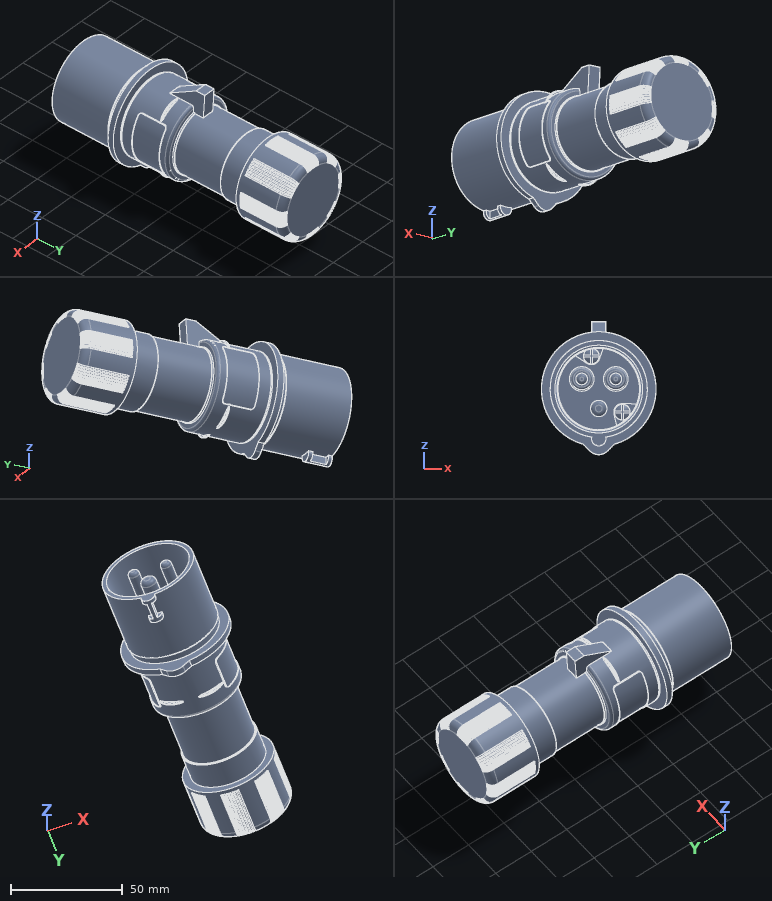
import math

import cadquery as cq


OVERLAP = 1.0

SHROUD_END = 32.9
FLANGE_FRONT = 36.4
FLANGE_BACK = 39.5
BODY_FRONT = 40.3
BODY_BACK = 67.5
COLLAR_BACK = 68.4
TUBE_END = 95.6
RING_END = 108.4
CAP_END = 135.2

SHROUD_RADIUS = 21.7
BODY_RADIUS = 21.1
RELIEF_RADIUS = 20.7
FLANGE_RADIUS = 25.66
COLLAR_RADIUS = 17.5
TUBE_RADIUS = 17.15
RING_RADIUS = 17.9
CAP_RADIUS = 21.7
BODY_BACK_FILLET = 1.4
RING_CHAMFER = 0.3
CAP_FILLET = 3.7

MOUTH_RADIUS = 19.6
FLOOR_RADIUS = 18.6
FLOOR_CHAMFER = 0.4
FLOOR_DEPTH = 37.0

EARTH_Z = -8.7
EARTH_RADIUS = 3.65
EARTH_TIP_RADIUS = 1.5
EARTH_TIP_Y = -1.0
PHASE_X = 7.6
PHASE_Z = 4.5
PHASE_RADIUS = 2.6
PHASE_TIP_RADIUS = 0.8
PHASE_TIP_Y = 1.1
PHASE_COLLAR_RADIUS = 5.5
PHASE_COLLAR_SHOULDER_RADIUS = 4.8
PHASE_COLLAR_TOP_RADIUS = 3.7
PHASE_COLLAR_HEIGHT = 4.0

SCREW_CENTRES = [(-3.3, 14.7), (10.5, -10.3)]
SCREW_RADIUS = 3.5
SCREW_DOME_HEIGHT = 1.2
SCREW_RIM_HEIGHT = 1.0
SCREW_SLOT_WIDTH = 0.9
SCREW_SLOT_DEPTH = 1.2
SCREW_POCKET_RADIUS = 3.8
SCREW_POCKET_DEPTH = 3.0
SCREW_POCKET_HALF_ANGLE = 38.0
SCREW_POCKET_SKEW = 5.5

KEY_WIDTH = 6.4
KEY_BOTTOM_Z = -25.4
KEY_LENGTH = 12.0
KEY_POCKET_START = 2.0
KEY_POCKET_END = 9.9
KEY_WEB = 2.0

LUG_RADIUS = 5.5
LUG_BOTTOM_Z = -29.35

LEVER_WIDTH = 6.4
LEVER_TOP_Z = 30.05
LEVER_FRONT_Y = 53.5
LEVER_CREST_Y = 69.0
LEVER_BACK_Y = 74.1
LEVER_HEEL_Y = 73.1
LEVER_ROOT_Z = 15.0

PANEL_FRONT = 46.4
PANEL_BACK = 62.5
PANEL_HALF_HEIGHT = 14.0
PANEL_CORNER = 1.5
PANEL_DEPTH = 0.4

RIDGE_Y = 58.5
RIDGE_WIDTH = 1.3
RIDGE_EDGE = 0.4
RIDGE_RADIUS = 10.6
RIDGE_OFFSET = 11.7
RIDGE_ANGLE = 62.0

GROOVE_GROUPS = 8
GROOVES_PER_GROUP = 7
GROOVE_PITCH_ANGLE = 3.5
GROOVE_WIDTH = 0.7
GROOVE_DEPTH = 0.4
GROOVE_START = 110.7


def disc(radius, y_front, y_back, x=0.0, z=0.0):
    """Cylinder along Y between two stations."""
    axis = cq.Vector(0, 1, 0)
    return cq.Workplane(cq.Solid.makeCylinder(radius, y_back - y_front, cq.Vector(x, y_front, z), axis))


def box(x_size, y_front, y_back, z_bottom, z_top):
    """Box centred on x = 0."""
    size = (x_size, y_back - y_front, z_top - z_bottom)
    return cq.Workplane("XY").box(*size, centered=(True, False, False)).translate((0, y_front, z_bottom))


def cross_section(y):
    """Workplane across the axis at y; local x is X, local y is Z, and extrusion runs to -Y."""
    return cq.Workplane("XZ", origin=(0, y, 0))


def make_outer_shell():
    body = disc(BODY_RADIUS, BODY_FRONT, BODY_BACK).faces(">Y").edges().fillet(BODY_BACK_FILLET)
    ring = disc(RING_RADIUS, TUBE_END, RING_END).faces("<Y").edges().chamfer(RING_CHAMFER)
    shell = disc(SHROUD_RADIUS, 0, SHROUD_END)
    shell = shell.union(disc(BODY_RADIUS, SHROUD_END, FLANGE_FRONT))
    shell = shell.union(make_flange())
    shell = shell.union(disc(RELIEF_RADIUS, FLANGE_BACK, BODY_FRONT))
    shell = shell.union(body)
    shell = shell.union(disc(COLLAR_RADIUS, BODY_BACK, COLLAR_BACK))
    shell = shell.union(disc(TUBE_RADIUS, COLLAR_BACK, TUBE_END))
    return shell.union(ring)


def make_flange():
    """Round flange with a rounded lug whose flanks slope at 45 degrees."""
    centre_z = LUG_BOTTOM_Z + LUG_RADIUS
    tangent = LUG_RADIUS * math.sqrt(0.5)
    run = FLANGE_RADIUS / 2
    lug = (
        cross_section(FLANGE_BACK)
        .moveTo(-tangent - run, centre_z - tangent + run)
        .lineTo(-tangent, centre_z - tangent)
        .threePointArc((0, LUG_BOTTOM_Z), (tangent, centre_z - tangent))
        .lineTo(tangent + run, centre_z - tangent + run)
        .close()
        .extrude(FLANGE_BACK - FLANGE_FRONT)
    )
    return disc(FLANGE_RADIUS, FLANGE_FRONT, FLANGE_BACK).union(lug)


def make_cap():
    """Clamping cap with groups of fine grooves that run out over its rounded back edge."""
    cap = disc(CAP_RADIUS, RING_END, CAP_END).faces(">Y").edges().fillet(CAP_FILLET)
    arc_radius = CAP_FILLET - GROOVE_DEPTH
    floor_radius = CAP_RADIUS - GROOVE_DEPTH
    core = disc(floor_radius, RING_END, CAP_END - GROOVE_DEPTH).faces(">Y").edges().fillet(arc_radius)
    blade = box(GROOVE_WIDTH, GROOVE_START, CAP_END, CAP_RADIUS - CAP_FILLET, CAP_RADIUS + OVERLAP)
    blade = blade.cut(core)
    blades = []
    for group in range(GROOVE_GROUPS):
        for index in range(GROOVES_PER_GROUP):
            step = index - (GROOVES_PER_GROUP - 1) / 2
            angle = group * 360 / GROOVE_GROUPS + step * GROOVE_PITCH_ANGLE
            blades.append(blade.rotate((0, 0, 0), (0, 1, 0), angle).val())
    return cq.Workplane(cap.val().cut(*blades))


def cut_grip_panels(part):
    length = PANEL_BACK - PANEL_FRONT
    block = (
        cq.Workplane("XY")
        .box(4 * BODY_RADIUS, length, 2 * PANEL_HALF_HEIGHT)
        .edges("|X")
        .fillet(PANEL_CORNER)
        .translate((0, (PANEL_FRONT + PANEL_BACK) / 2, 0))
    )
    core = disc(BODY_RADIUS - PANEL_DEPTH, PANEL_FRONT - OVERLAP, PANEL_BACK + OVERLAP)
    return part.cut(block.cut(core))


def add_ridges(part):
    """Four bevelled discs set off the axis, each showing as a crescent on the body."""
    for angle in (RIDGE_ANGLE, 180 - RIDGE_ANGLE, 180 + RIDGE_ANGLE, -RIDGE_ANGLE):
        x = RIDGE_OFFSET * math.cos(math.radians(angle))
        z = RIDGE_OFFSET * math.sin(math.radians(angle))
        ridge = disc(RIDGE_RADIUS, RIDGE_Y - RIDGE_WIDTH / 2, RIDGE_Y + RIDGE_WIDTH / 2, x, z)
        part = part.union(ridge.edges().chamfer(RIDGE_EDGE))
    return part


def make_lever():
    outline = [
        (LEVER_FRONT_Y, LEVER_ROOT_Z),
        (LEVER_FRONT_Y, BODY_RADIUS),
        (LEVER_CREST_Y, LEVER_TOP_Z),
        (LEVER_BACK_Y, LEVER_TOP_Z),
        (LEVER_HEEL_Y, LEVER_ROOT_Z),
    ]
    return cq.Workplane("YZ").polyline(outline).close().extrude(LEVER_WIDTH / 2, both=True)


def make_key():
    """Round-bottomed key under the shroud, thinned to a web along its middle."""
    radius = KEY_WIDTH / 2
    round_z = KEY_BOTTOM_Z + radius
    root_z = -(SHROUD_RADIUS + MOUTH_RADIUS) / 2
    key = disc(radius, 0, KEY_LENGTH, z=round_z)
    key = key.union(box(KEY_WIDTH, 0, KEY_LENGTH, round_z, root_z))
    pocket = box(2 * KEY_WIDTH, KEY_POCKET_START, KEY_POCKET_END, KEY_BOTTOM_Z - OVERLAP, root_z)
    web = box(KEY_WEB, KEY_POCKET_START, KEY_POCKET_END, KEY_BOTTOM_Z - OVERLAP, root_z)
    return key.cut(pocket.cut(web))


def make_cavity():
    axis = cq.Vector(0, 1, 0)
    cone = cq.Workplane(cq.Solid.makeCone(MOUTH_RADIUS, FLOOR_RADIUS, FLOOR_DEPTH, cq.Vector(), axis))
    return cone.faces(">Y").edges().chamfer(FLOOR_CHAMFER)


def make_pin(radius, tip_radius, tip_y, x, z):
    pin = disc(radius, tip_y, FLOOR_DEPTH + OVERLAP, x, z)
    return pin.faces("<Y").edges().fillet(radius - tip_radius)


def make_phase_collar(x):
    """Tapered collar with a rounded top edge round the foot of a phase pin."""
    round_radius = PHASE_COLLAR_SHOULDER_RADIUS - PHASE_COLLAR_TOP_RADIUS
    top = FLOOR_DEPTH - PHASE_COLLAR_HEIGHT
    shoulder = top + round_radius
    foot = cq.Vector(x, FLOOR_DEPTH, PHASE_Z)
    taper = cq.Solid.makeCone(
        PHASE_COLLAR_RADIUS, PHASE_COLLAR_SHOULDER_RADIUS, FLOOR_DEPTH - shoulder, foot, cq.Vector(0, -1, 0)
    )
    crown = disc(PHASE_COLLAR_SHOULDER_RADIUS, top, FLOOR_DEPTH, x, PHASE_Z)
    return crown.faces("<Y").edges().fillet(round_radius).union(cq.Workplane(taper))


def make_screw_pocket(x, z):
    """Recess round a screw head that widens outwards to the cavity wall."""
    floor = FLOOR_DEPTH + SCREW_POCKET_DEPTH
    outward = math.degrees(math.atan2(z, x)) + SCREW_POCKET_SKEW
    tangent_x = -SCREW_POCKET_RADIUS * math.sin(math.radians(SCREW_POCKET_HALF_ANGLE))
    tangent_z = SCREW_POCKET_RADIUS * math.cos(math.radians(SCREW_POCKET_HALF_ANGLE))
    reach = FLOOR_RADIUS
    spread = tangent_z + (reach - tangent_x) * math.tan(math.radians(SCREW_POCKET_HALF_ANGLE))
    wedge = (
        cross_section(floor)
        .moveTo(tangent_x, tangent_z)
        .threePointArc((-SCREW_POCKET_RADIUS, 0), (tangent_x, -tangent_z))
        .lineTo(reach, -spread)
        .lineTo(reach, spread)
        .close()
        .extrude(SCREW_POCKET_DEPTH)
        .rotate((0, 0, 0), (0, 1, 0), -outward)
        .translate((x, 0, z))
    )
    return wedge.intersect(disc(FLOOR_RADIUS - FLOOR_CHAMFER, FLOOR_DEPTH, floor))


def make_screw(x, z):
    """Domed, cross-slotted screw head standing on the floor of its pocket."""
    floor = FLOOR_DEPTH + SCREW_POCKET_DEPTH
    rim = floor - SCREW_RIM_HEIGHT
    crown = rim - SCREW_DOME_HEIGHT
    head = (
        cq.Workplane("XY")
        .moveTo(0, floor + OVERLAP)
        .lineTo(SCREW_RADIUS, floor + OVERLAP)
        .lineTo(SCREW_RADIUS, rim)
        .threePointArc((SCREW_RADIUS / 2, crown + SCREW_DOME_HEIGHT / 4), (0, crown))
        .close()
        .revolve(360, (0, 0, 0), (0, 1, 0))
    )
    slot_end = crown + SCREW_SLOT_DEPTH
    upright = box(SCREW_SLOT_WIDTH, crown, slot_end, -SCREW_RADIUS, SCREW_RADIUS)
    level = upright.rotate((0, 0, 0), (0, 1, 0), 90)
    return head.cut(upright).cut(level).translate((x, 0, z))


def make_plug():
    plug = cut_grip_panels(make_outer_shell())
    plug = add_ridges(plug)
    plug = plug.union(make_lever()).union(make_key())
    plug = plug.cut(make_cavity())
    for x, z in SCREW_CENTRES:
        plug = plug.cut(make_screw_pocket(x, z))
        plug = plug.union(make_screw(x, z))
    plug = plug.union(make_pin(EARTH_RADIUS, EARTH_TIP_RADIUS, EARTH_TIP_Y, 0, EARTH_Z))
    for x in (-PHASE_X, PHASE_X):
        plug = plug.union(make_phase_collar(x))
        plug = plug.union(make_pin(PHASE_RADIUS, PHASE_TIP_RADIUS, PHASE_TIP_Y, x, PHASE_Z))
    return plug.union(make_cap())


result = make_plug()